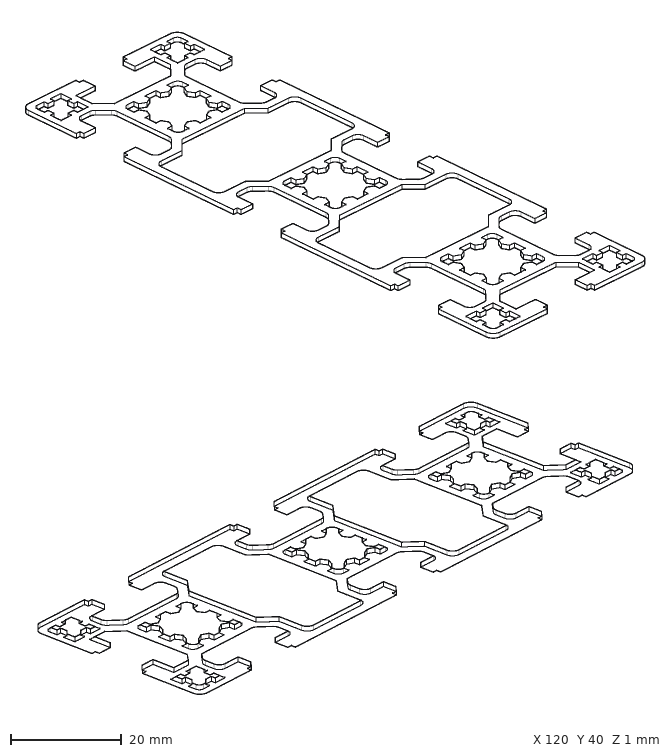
import cadquery as cq

MODULE_COUNT = 3
LENGTH = 120.0
MODULE = LENGTH / MODULE_COUNT
HALF_MODULE = MODULE / 2
THICKNESS = 1.0
CORNER_RADIUS = 1.8

CORE_HALF = 9.0
CORE_BORE = 14.0
CORE_BORE_RADIUS = 1.2
RIB_WIDTH = 2.9
RIB_GAP = 2.8
RIB_OFFSET = (RIB_GAP + RIB_WIDTH) / 2
RIB_SIDE_HEIGHT = 1.2
RIB_TIP_HEIGHT = 1.9

LIP_THICKNESS = MODULE / 10
SLOT_OPENING = 10.2
STEP_OPENING = 12.1
STEP_DEPTH = 1.0
CHAMBER_HALF = 10.1
CHAMBER_CHAMFER = 2.9
CHAMBER_RADIUS = 1.5

CHANNEL_SIZE = 7.0
CHANNEL_INSET = 5.0
CHANNEL_RADIUS = 1.0
NUB_WIDTH = 1.5
NUB_HEIGHT = 1.0

POCKET_HALF_WIDTH = 8.0
POCKET_HALF_HEIGHT = 17.9
POCKET_RADIUS = 1.5
BULGE_HALF_WIDTH = HALF_MODULE - CORE_HALF
BULGE_HALF_HEIGHT = 8.0
BULGE_SLOPE = BULGE_HALF_WIDTH - POCKET_HALF_WIDTH

QUARTER_TURNS = (0, 90, 180, 270)


def block(width, height):
    """Block of full thickness, centred on the origin in X and Y."""
    return cq.Workplane("XY").rect(width, height).extrude(THICKNESS)


def turn(shape, angle):
    """Turn a shape about the Z axis."""
    return shape.rotate((0, 0, 0), (0, 0, 1), angle)


def t_slot(chamber_radius):
    """Slot cutter opening toward +Y, with the module centre at the origin."""
    lip = HALF_MODULE - LIP_THICKNESS
    floor = CORE_HALF
    floor_half = CHAMBER_HALF - CHAMBER_CHAMFER
    shoulder = floor + CHAMBER_CHAMFER
    chamber = (
        cq.Workplane("XY")
        .moveTo(-CHAMBER_HALF, lip)
        .lineTo(CHAMBER_HALF, lip)
        .lineTo(CHAMBER_HALF, shoulder)
        .lineTo(floor_half, floor)
        .lineTo(-floor_half, floor)
        .lineTo(-CHAMBER_HALF, shoulder)
        .close()
        .extrude(THICKNESS)
    )
    if chamber_radius > 0:
        chamber = chamber.edges("|Z").fillet(chamber_radius)
    neck = block(SLOT_OPENING, 2 * LIP_THICKNESS).translate((0, HALF_MODULE, 0))
    step = block(STEP_OPENING, 2 * STEP_DEPTH).translate((0, HALF_MODULE, 0))
    return chamber.union(neck).union(step)


def core_rib(offset):
    """Rib with a pointed tip standing on the -Y wall of the core bore."""
    wall = -CORE_BORE / 2
    left = offset - RIB_WIDTH / 2
    right = offset + RIB_WIDTH / 2
    return (
        cq.Workplane("XY")
        .moveTo(left, wall)
        .lineTo(left, wall + RIB_SIDE_HEIGHT)
        .lineTo(offset, wall + RIB_TIP_HEIGHT)
        .lineTo(right, wall + RIB_SIDE_HEIGHT)
        .lineTo(right, wall)
        .close()
        .extrude(THICKNESS)
    )


def core_bore():
    """Square bore with two ribs left standing on each wall."""
    bore = block(CORE_BORE, CORE_BORE).edges("|Z").fillet(CORE_BORE_RADIUS)
    for angle in QUARTER_TURNS:
        for offset in (-RIB_OFFSET, RIB_OFFSET):
            bore = bore.cut(turn(core_rib(offset), angle))
    return bore


def corner_channel():
    """Square channel for the +X +Y corner, with a nub left on each wall."""
    channel = block(CHANNEL_SIZE, CHANNEL_SIZE)
    channel = channel.edges("|Z").edges(">(1, 1, 0)").fillet(CHANNEL_RADIUS)
    nub = block(NUB_WIDTH, 2 * NUB_HEIGHT).translate((0, CHANNEL_SIZE / 2, 0))
    for angle in QUARTER_TURNS:
        channel = channel.cut(turn(nub, angle))
    return channel


def pocket():
    """Tall pocket that widens between two cores."""
    tall = block(2 * POCKET_HALF_WIDTH, 2 * POCKET_HALF_HEIGHT)
    tall = tall.edges("|Z").fillet(POCKET_RADIUS)
    bulge = block(2 * BULGE_HALF_WIDTH, 2 * (BULGE_HALF_HEIGHT + BULGE_SLOPE))
    bulge = bulge.edges("|Z").chamfer(BULGE_SLOPE)
    return tall.union(bulge)


result = block(LENGTH, MODULE).edges("|Z").fillet(CORNER_RADIUS)

long_side_slot = t_slot(CHAMBER_RADIUS)
for index in range(MODULE_COUNT):
    center = ((index - (MODULE_COUNT - 1) / 2) * MODULE, 0, 0)
    result = result.cut(core_bore().translate(center))
    for angle in (0, 180):
        result = result.cut(turn(long_side_slot, angle).translate(center))

for index in range(MODULE_COUNT - 1):
    joint = (index - (MODULE_COUNT - 2) / 2) * MODULE
    result = result.cut(pocket().translate((joint, 0, 0)))

end_slot = t_slot(0).translate((0, LENGTH / 2 - HALF_MODULE, 0))
for angle in (90, 270):
    result = result.cut(turn(end_slot, angle))

channel_place = (LENGTH / 2 - CHANNEL_INSET, HALF_MODULE - CHANNEL_INSET, 0)
right_top = corner_channel().translate(channel_place)
right_pair = right_top.union(right_top.mirror("XZ"))
result = result.cut(right_pair).cut(right_pair.mirror("YZ"))